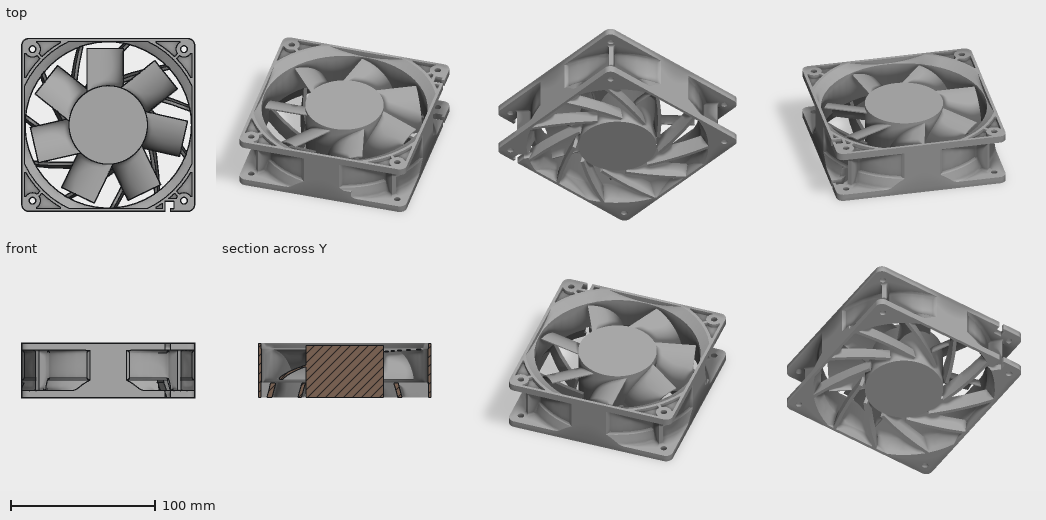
import cadquery as cq
import math

SIDE = 120.0
HEIGHT = 38.0
CORNER_RADIUS = 5.0
FLANGE = 5.0
HALF = SIDE / 2
RIM = 2.0
FLAT = HALF - RIM

BORE_RADIUS = 57.6
TOP_MOUTH_RADIUS = 64.0
TOP_FLARE = 4.2
BOTTOM_MOUTH_RADIUS = 63.0
BOTTOM_FLARE = 11.0

SHELL_RADIUS = 60.0
SHELL_FILLET = 2.0
STEP_TOP = 13.9
STEP_BOTTOM = 12.4
CONE_TOP_RADIUS = 61.3
CONE_FOOT = 6.4
CONE_FOOT_RADIUS = 63.7
FOOT_RADIUS = 65.3
CORE_CONE_TOP = 13.3
CORE_FOOT_RADIUS = 64.4

PANEL_HALF = 12.65
PANEL_ROOT_HALF = 14.8

HOLE_OFFSET = 52.5
HOLE_DIAMETER = 4.5
BOSS_RADIUS = 5.5
RIB_WIDTH = 3.0
RIB_END = 69.6
RIB_FILLET = 1.4
POCKET_DEPTH = 3.0
POCKET_WEB = 2.0
POCKET_START = 33.0
POCKET_END = 49.6

NOTCH_LEFT = 39.5
NOTCH_RIGHT = 45.5
NOTCH_MOUTH_RIGHT = 43.0
NOTCH_DEPTH = 7.0
WINDOW_NEAR = 3.3
WINDOW_FAR = 12.2
WINDOW_TOP = 12.2

BLOCK_END = 21.2
BLOCK_TOP = 10.4

HUB_RADIUS = 27.2
HUB_TOP = 36.6
BLADE_COUNT = 7
BLADE_TIP = 53.1
BLADE_ROOT = 20.0
BLADE_THICKNESS = 0.8
BLADE_HIGH = (-14.8, 34.3)
BLADE_LOW = (10.4, 12.8)
BLADE_ARC_RADIUS = 27.0

STRUT_COUNT = 11
STRUT_TOP = 10.5
STRUT_WIDTH = 2.4
STRUT_LINE = (
    (-15.2, 63.0),
    (-21.5, 32.0),
    (-22.8, 14.0),
)
STRUT_LEANS = (1.3, 2.0, 2.6)

CORNERS = [(sx, sy) for sx in (1, -1) for sy in (1, -1)]


def block(x0, x1, y0, y1, z0, z1):
    """Axis-aligned box between two opposite corners."""
    return cq.Workplane("XY").box(x1 - x0, y1 - y0, z1 - z0, centered=False).translate((x0, y0, z0))


def spin(shape, angle):
    """Rotate a shape about the fan axis."""
    return shape.rotate((0, 0, 0), (0, 0, 1), angle)


def bulge_point(start, end, radius, side):
    """Middle point of the arc between two points, bulging to the left (side = 1) or right (-1)."""
    dx = end[0] - start[0]
    dy = end[1] - start[1]
    chord = math.hypot(dx, dy)
    rise = side * (radius - math.sqrt(radius ** 2 - chord ** 2 / 4))
    return (
        (start[0] + end[0]) / 2 - rise * dy / chord,
        (start[1] + end[1]) / 2 + rise * dx / chord,
    )


def flange(bottom):
    plate = block(-HALF, HALF, -HALF, HALF, bottom, bottom + FLANGE)
    return plate.edges("|Z").fillet(CORNER_RADIUS)


def shell():
    """Outside of the duct wall between the flanges, as a solid body trimmed to the square."""
    underside = HEIGHT - FLANGE
    fillet_start = (SHELL_RADIUS, underside - SHELL_FILLET)
    fillet_end = (SHELL_RADIUS + SHELL_FILLET, underside)
    step_start = (SHELL_RADIUS, STEP_TOP)
    step_end = (CONE_TOP_RADIUS, STEP_BOTTOM)
    foot_start = (CONE_FOOT_RADIUS, CONE_FOOT)
    foot_end = (FOOT_RADIUS, FLANGE)
    body = (
        cq.Workplane("XZ")
        .moveTo(0, FLANGE)
        .lineTo(*foot_end)
        .threePointArc(bulge_point(foot_end, foot_start, SHELL_FILLET, 1), foot_start)
        .lineTo(*step_end)
        .threePointArc(bulge_point(step_end, step_start, SHELL_FILLET, 1), step_start)
        .lineTo(*fillet_start)
        .threePointArc(bulge_point(fillet_start, fillet_end, SHELL_FILLET, 1), fillet_end)
        .lineTo(0, underside)
        .close()
        .revolve(360, (0, 0, 0), (0, 1, 0))
    )
    return body.intersect(block(-HALF, HALF, -HALF, HALF, 0, HEIGHT))


def side_panels():
    """Two crossing bars whose ends are the flat panels; their flanks slope into the shell."""
    root = math.sqrt(SHELL_RADIUS ** 2 - PANEL_ROOT_HALF ** 2)
    bar = (
        cq.Workplane("XY")
        .workplane(offset=STEP_BOTTOM)
        .polyline([
            (-PANEL_HALF, -HALF), (PANEL_HALF, -HALF), (PANEL_ROOT_HALF, -root), (PANEL_ROOT_HALF, root),
            (PANEL_HALF, HALF), (-PANEL_HALF, HALF), (-PANEL_ROOT_HALF, root), (-PANEL_ROOT_HALF, -root),
        ])
        .close()
        .extrude(HEIGHT - FLANGE - STEP_BOTTOM)
    )
    return bar.union(spin(bar, 90))


def corner_rib():
    """Upright rib along +X with blended feet, together with the piece of frame it stands on."""
    underside = HEIGHT - FLANGE
    core = (
        cq.Workplane("XZ")
        .polyline([
            (0, FLANGE), (CORE_FOOT_RADIUS, FLANGE), (SHELL_RADIUS, CORE_CONE_TOP),
            (SHELL_RADIUS, underside), (0, underside),
        ])
        .close()
        .revolve(360, (0, 0, 0), (0, 1, 0))
    )
    rib = block(0, RIB_END, -RIB_WIDTH / 2, RIB_WIDTH / 2, FLANGE, underside)
    body = core.union(rib).union(spin(flange(0), 45)).union(spin(flange(underside), 45))

    margin = RIB_FILLET / 2
    reach = RIB_WIDTH / 2 + margin
    foot_box = cq.selectors.BoxSelector(
        (SHELL_RADIUS - margin, -reach, FLANGE - margin), (RIB_END + margin, reach, underside + margin)
    )
    nose_box = cq.selectors.BoxSelector(
        (RIB_END - margin, -reach, FLANGE + margin), (RIB_END + margin, reach, underside - margin)
    )
    body = body.edges(foot_box - nose_box).fillet(RIB_FILLET)

    half_piece = RIB_WIDTH / 2 + 2 * RIB_FILLET
    piece = block(
        BORE_RADIUS, RIB_END + 2 * RIB_FILLET, -half_piece, half_piece, FLANGE - margin, underside + margin
    )
    return body.intersect(piece)


def corner_ribs():
    rib = corner_rib()
    ribs = spin(rib, 45)
    for turn in (135, 225, 315):
        ribs = ribs.union(spin(rib, turn))
    return ribs


def frame_blank():
    """Frame before the bore, the holes and the pockets are cut."""
    side_block = block(-HALF, -FLAT, -BLOCK_END, 0, FLANGE, BLOCK_TOP)
    body = shell().union(side_panels()).union(flange(0)).union(flange(HEIGHT - FLANGE))
    return body.union(corner_ribs()).union(side_block)


def bore():
    """Air duct: a cylinder flared at both ends, the flares trimmed by the inner flats."""
    duct = (
        cq.Workplane("XZ")
        .polyline([
            (0, 0), (BOTTOM_MOUTH_RADIUS, 0), (BORE_RADIUS, BOTTOM_FLARE),
            (BORE_RADIUS, HEIGHT - TOP_FLARE), (TOP_MOUTH_RADIUS, HEIGHT), (0, HEIGHT),
        ])
        .close()
        .revolve(360, (0, 0, 0), (0, 1, 0))
    )
    return duct.intersect(block(-FLAT, FLAT, -FLAT, FLAT, 0, HEIGHT))


def mounting_holes():
    centres = [(sx * HOLE_OFFSET, sy * HOLE_OFFSET) for sx, sy in CORNERS]
    return cq.Workplane("XY").pushPoints(centres).circle(HOLE_DIAMETER / 2).extrude(HEIGHT)


def pocket():
    """Three-sided pocket on the +Y side of the diagonal in the +X +Y corner."""
    floor = HEIGHT - POCKET_DEPTH
    web = POCKET_WEB / math.sqrt(2)
    region = (
        cq.Workplane("XY")
        .workplane(offset=floor)
        .polyline([
            (POCKET_START, FLAT), (POCKET_START, POCKET_START + web),
            (POCKET_END, POCKET_END + web), (POCKET_END, FLAT),
        ])
        .close()
        .extrude(POCKET_DEPTH)
    )
    mouth_wall = (
        cq.Workplane("XY")
        .workplane(offset=floor)
        .circle(TOP_MOUTH_RADIUS + RIM)
        .extrude(POCKET_DEPTH)
    )
    boss = (
        cq.Workplane("XY")
        .workplane(offset=floor)
        .center(HOLE_OFFSET, HOLE_OFFSET)
        .circle(BOSS_RADIUS)
        .extrude(POCKET_DEPTH)
    )
    return region.cut(mouth_wall).cut(boss)


def flange_pockets():
    """A mirrored pair of pockets in each corner, interrupted by a wall around the notch."""
    first = pocket()
    pair = first.union(first.mirror("XZ").rotate((0, 0, 0), (0, 0, 1), 90))
    pockets = pair
    for turn in (90, 180, 270):
        pockets = pockets.union(spin(pair, turn))
    notch_wall = block(NOTCH_LEFT - RIM, POCKET_END, -HALF, -HALF + NOTCH_DEPTH + RIM, 0, HEIGHT)
    return pockets.cut(notch_wall)


def lead_notch():
    """Hooked notch through both flanges."""
    inner = block(NOTCH_LEFT, NOTCH_RIGHT, -FLAT, -HALF + NOTCH_DEPTH, 0, HEIGHT)
    mouth = block(NOTCH_LEFT, NOTCH_MOUTH_RIGHT, -HALF, -FLAT, 0, HEIGHT)
    return inner.union(mouth)


def lead_window():
    """Opening through the duct wall, with a channel below it through the bottom flange to the notch."""
    notch_back = HALF - NOTCH_DEPTH
    near_side = (notch_back - NOTCH_RIGHT) / math.sqrt(2)
    channel_side = (notch_back - NOTCH_LEFT) / math.sqrt(2)
    inside = BORE_RADIUS - WINDOW_FAR
    opening = block(inside, FOOT_RADIUS, -WINDOW_FAR, -WINDOW_NEAR, FLANGE, WINDOW_TOP)
    left_end = (notch_back + NOTCH_LEFT) / math.sqrt(2)
    right_end = (notch_back + NOTCH_RIGHT) / math.sqrt(2)
    channel = (
        cq.Workplane("XY")
        .polyline([
            (inside, -channel_side), (left_end, -channel_side), (right_end, -near_side), (inside, -near_side),
        ])
        .close()
        .extrude(FLANGE)
    )
    return spin(opening.union(channel), -45)


def blade():
    """Curved plate of constant section, reaching straight out along +Y."""
    middle = bulge_point(BLADE_HIGH, BLADE_LOW, BLADE_ARC_RADIUS, 1)
    half_chord = math.hypot(BLADE_LOW[0] - BLADE_HIGH[0], BLADE_LOW[1] - BLADE_HIGH[1]) / 2
    to_centre = math.sqrt(BLADE_ARC_RADIUS ** 2 - half_chord ** 2)
    drop = BLADE_ARC_RADIUS - to_centre
    chord_middle = ((BLADE_HIGH[0] + BLADE_LOW[0]) / 2, (BLADE_HIGH[1] + BLADE_LOW[1]) / 2)
    centre = tuple(m - (p - m) * to_centre / drop for m, p in zip(chord_middle, middle))

    def inner(point):
        """Point on the inner face, one thickness closer to the arc centre."""
        scale = 1 - BLADE_THICKNESS / BLADE_ARC_RADIUS
        return tuple(c + (p - c) * scale for c, p in zip(centre, point))

    return (
        cq.Workplane("XZ")
        .workplane(offset=-BLADE_TIP)
        .moveTo(*BLADE_HIGH)
        .threePointArc(middle, BLADE_LOW)
        .lineTo(*inner(BLADE_LOW))
        .threePointArc(inner(middle), inner(BLADE_HIGH))
        .close()
        .extrude(BLADE_TIP - BLADE_ROOT)
    )


def rotor():
    body = cq.Workplane("XY").circle(HUB_RADIUS).extrude(HUB_TOP)
    for i in range(BLADE_COUNT):
        body = body.union(spin(blade(), i * 360 / BLADE_COUNT))
    return body


def strut():
    """Curved bar that leans sideways: its foot is shifted against its top."""
    def section(plane, leans):
        right = [(x - lean, y) for (x, y), lean in zip(STRUT_LINE, leans)]
        left = [(x - STRUT_WIDTH, y) for x, y in right]
        return (
            plane.moveTo(*right[0])
            .threePointArc(right[1], right[2])
            .lineTo(*left[2])
            .threePointArc(left[1], left[0])
            .close()
        )

    foot = section(cq.Workplane("XY"), STRUT_LEANS)
    return section(foot.workplane(offset=STRUT_TOP), (0, 0, 0)).loft(ruled=True)


def struts():
    bars = strut()
    for i in range(1, STRUT_COUNT):
        bars = bars.union(spin(strut(), i * 360 / STRUT_COUNT))
    return bars


blank = frame_blank()
frame = blank.cut(bore()).cut(mounting_holes()).cut(flange_pockets())
frame = frame.cut(lead_notch()).cut(lead_window())
result = frame.union(struts().intersect(blank.union(bore()))).union(rotor())